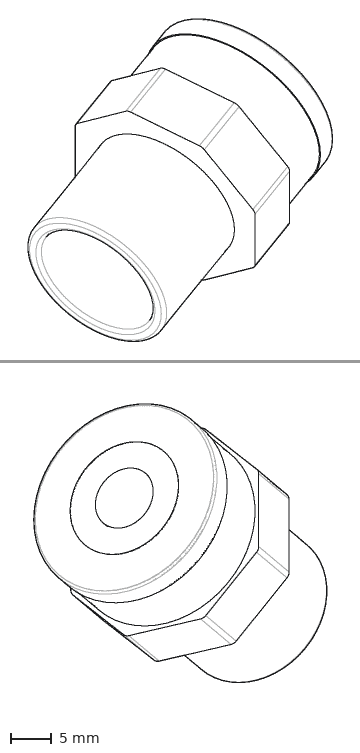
import cadquery as cq
import math


total_length = 34.65
spigot_length = 16.0
collar_width = 8.0
ring_length = 3.0
front_y = -total_length / 2
collar_y = front_y + spigot_length
barrel_y = collar_y + collar_width
back_y = total_length / 2

collar_across_flats = 26.0
collar_corner_radius = 1.0
collar_sides = 8
collar_half_side_angle = 180 / collar_sides

spigot_root_diameter = 20.1
spigot_tip_diameter = 20.02
socket_mouth_diameter = 16.28
socket_floor_diameter = 16.0
rim_radius = 0.5

barrel_diameter = 25.0
through_diameter = 8.0
ring_diameter = 25.32
ring_lip_diameter = 15.0
ring_edge_radius = 0.3
ring_thickness = (ring_diameter - barrel_diameter) / 2
barrel_edge_radius = ring_edge_radius - ring_thickness
shoulder_y = back_y - ring_thickness


def cylinder(diameter, start_y, end_y):
    """Solid cylinder on the Y axis between two Y positions."""
    plane = cq.Workplane("XZ", origin=(0, start_y, 0))
    return plane.circle(diameter / 2).extrude(start_y - end_y)


def make_spigot():
    """Tapered tube, open at the -Y end, with both edges of its rim rounded."""
    profile = [
        (spigot_tip_diameter / 2, front_y),
        (spigot_root_diameter / 2, collar_y),
        (socket_floor_diameter / 2, collar_y),
        (socket_mouth_diameter / 2, front_y),
    ]
    tube = cq.Workplane("XY").polyline(profile).close().revolve(360, (0, 0, 0), (0, 1, 0))
    return tube.faces("<Y").edges().fillet(rim_radius)


def make_collar():
    """Octagonal prism with flats facing X and Z and rounded corners."""
    across_corners = collar_across_flats / math.cos(math.radians(collar_half_side_angle))
    prism = (
        cq.Workplane("XZ", origin=(0, collar_y, 0))
        .transformed(rotate=(0, 0, collar_half_side_angle))
        .polygon(collar_sides, across_corners)
        .extrude(-collar_width)
    )
    return prism.edges("|Y").fillet(collar_corner_radius)


def make_barrel():
    """Round barrel with a neck at its end that fills the hole in the ring's lip."""
    barrel = cylinder(barrel_diameter, barrel_y, shoulder_y)
    barrel = barrel.faces(">Y").edges().fillet(barrel_edge_radius)
    neck = cylinder(ring_lip_diameter, shoulder_y, back_y)
    return barrel.union(neck)


def make_adaptor():
    """Spigot, collar and barrel in one piece, with a hole from the socket floor to the +Y end."""
    through_hole = cylinder(through_diameter, collar_y, back_y)
    return make_collar().union(make_spigot()).union(make_barrel()).cut(through_hole)


def make_ring():
    """Thin sleeve around the barrel end, with a lip that covers the end face."""
    blank = cylinder(ring_diameter, back_y - ring_length, back_y)
    blank = blank.faces(">Y").edges().fillet(ring_edge_radius)
    return blank.cut(make_barrel())


adaptor = make_adaptor()
ring = make_ring()

result = cq.Compound.makeCompound([adaptor.val(), ring.val()])